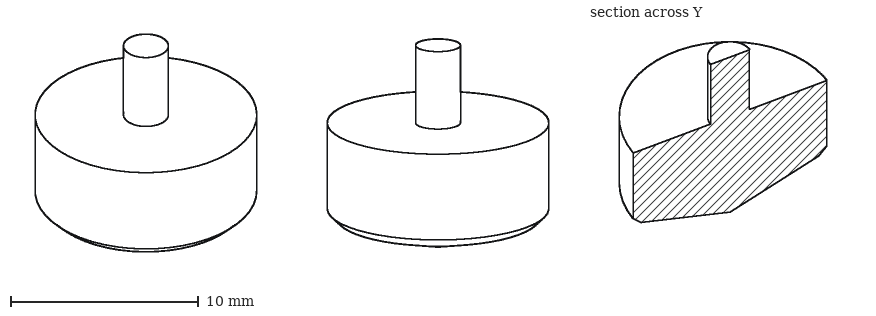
import cadquery as cq

body_diameter = 11.8
pin_diameter = 2.4
total_height = 11.2
pin_length = 4.3
chamfer = 0.5
cone_height = 1.65

body_radius = body_diameter / 2
pin_radius = pin_diameter / 2
cone_radius = body_radius - chamfer
body_top = total_height - pin_length

profile = (
    cq.Workplane("XZ")
    .moveTo(0, 0)
    .lineTo(cone_radius, cone_height)
    .lineTo(body_radius, cone_height + chamfer)
    .lineTo(body_radius, body_top)
    .lineTo(pin_radius, body_top)
    .lineTo(pin_radius, total_height)
    .lineTo(0, total_height)
    .close()
)

result = profile.revolve(360, (0, 0, 0), (0, 1, 0))